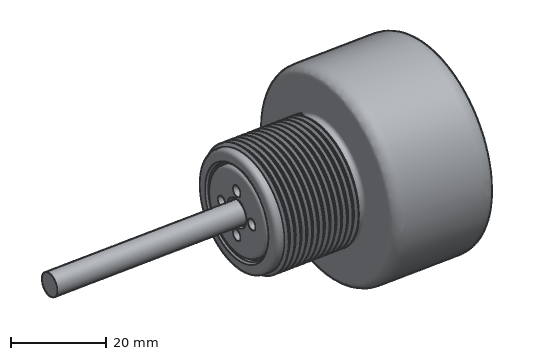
import cadquery as cq


overall_length = 97.55

drum_diameter = 50.0
drum_length = 26.3
drum_rim_length = 3.0
drum_rim_inset = 1.95

stem_radius = 14.1
stem_length = 22.9
stem_tip_fillet = 1.0
stem_root_fillet = 0.8

thread_diameter = 29.9
thread_length = 20.1
thread_turns = 13.4
thread_start = 1.1
thread_base_width = 1.2
thread_crest_width = 0.2
thread_embed = 0.2
thread_start_angle = 120.0

bore_radius = 10.5
groove_radius = 11.0
groove_depth = 1.5
groove_mouth_chamfer = 0.5
insert_rim_fillet = 0.9

cable_radius = 2.8
cable_hole_radius = 3.0
cable_mouth_chamfer = 0.5
pin_hole_radius = 1.4
pin_circle_radius = 5.5
pin_hole_count = 4

drum_radius = drum_diameter / 2
thread_radius = thread_diameter / 2
thread_pitch = thread_length / thread_turns
cable_end = overall_length - drum_length


def front_plane(distance=0.0):
    """Plane facing -Y, the given distance in front of the drum face."""
    return cq.Workplane("XZ", origin=(0, -distance, 0))


def make_drum():
    """Drum with an elliptical quarter-round along both rims."""
    face_radius = drum_radius - drum_rim_inset
    return (
        cq.Workplane("XY")
        .lineTo(face_radius, 0)
        .ellipseArc(drum_rim_inset, drum_rim_length, 270, 360, startAtCurrent=True)
        .lineTo(drum_radius, drum_length - drum_rim_length)
        .ellipseArc(drum_rim_inset, drum_rim_length, 0, 90, startAtCurrent=True)
        .lineTo(0, drum_length)
        .close()
        .revolve(360, (0, 0, 0), (0, 1, 0))
    )


def make_thread():
    """Helical ridge of trapezoidal section, sunk a little into the stem."""
    root_radius = stem_radius - thread_embed
    flank_slope = (thread_base_width - thread_crest_width) / 2 / (thread_radius - stem_radius)
    root_half_width = thread_base_width / 2 + thread_embed * flank_slope
    crest_half_width = thread_crest_width / 2
    path = cq.Wire.makeHelix(thread_pitch, thread_length, stem_radius)
    ridge = (
        cq.Workplane("XZ")
        .moveTo(root_radius, -root_half_width)
        .lineTo(thread_radius, -crest_half_width)
        .lineTo(thread_radius, crest_half_width)
        .lineTo(root_radius, root_half_width)
        .close()
        .sweep(cq.Workplane(obj=path), isFrenet=True)
    )
    return (
        ridge.rotate((0, 0, 0), (0, 0, 1), thread_start_angle)
        .rotate((0, 0, 0), (1, 0, 0), 90)
        .translate((0, -thread_start, 0))
    )


def make_stem():
    """Threaded stem with a rounded tip and a hollow fillet where it meets the drum."""
    shank = front_plane().circle(stem_radius).extrude(stem_length)
    shank = shank.faces("<Y").edges().fillet(stem_tip_fillet)
    root = (
        cq.Workplane("XY")
        .lineTo(stem_radius + stem_root_fillet, 0)
        .radiusArc((stem_radius, -stem_root_fillet), -stem_root_fillet)
        .lineTo(0, -stem_root_fillet)
        .close()
        .revolve(360, (0, 0, 0), (0, 1, 0))
    )
    return root.union(shank.union(make_thread()))


def make_bore():
    """Blind bore for the insert, widened at its mouth by a chamfered groove."""
    bore = front_plane().circle(bore_radius).extrude(stem_length)
    groove = front_plane(stem_length - groove_depth).circle(groove_radius).extrude(groove_depth)
    mouth = (
        front_plane(stem_length - groove_mouth_chamfer)
        .circle(groove_radius)
        .workplane(offset=groove_mouth_chamfer)
        .circle(groove_radius + groove_mouth_chamfer)
        .loft()
    )
    return bore.union(groove).union(mouth)


def make_housing():
    """Drum and threaded stem in one piece, bored for the insert."""
    return make_drum().union(make_stem()).cut(make_bore())


def make_insert():
    """Round plug that fills the bore, with a cable hole and a ring of pin holes."""
    plug = front_plane().circle(bore_radius).extrude(stem_length)
    plug = plug.faces("<Y").edges().fillet(insert_rim_fillet)
    cable_hole = front_plane().circle(cable_hole_radius).extrude(stem_length)
    pin_holes = (
        front_plane()
        .polarArray(pin_circle_radius, 0, 360, pin_hole_count)
        .circle(pin_hole_radius)
        .extrude(stem_length)
    )
    return (
        plug.cut(cable_hole)
        .faces("<Y")
        .edges("%CIRCLE")
        .edges(cq.selectors.RadiusNthSelector(0))
        .chamfer(cable_mouth_chamfer)
        .cut(pin_holes)
    )


def make_cable():
    """Plain round cable standing on the floor of the bore."""
    return front_plane().circle(cable_radius).extrude(cable_end)


housing = make_housing()
insert = make_insert()
cable = make_cable()

result = cq.Compound.makeCompound([housing.solids().val(), insert.solids().val(), cable.val()])